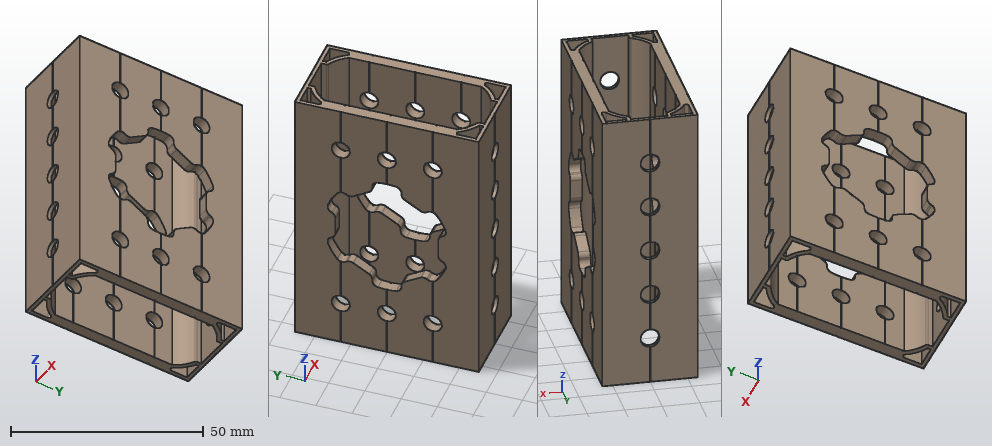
import cadquery as cq
import math

WIDTH = 25.4
DEPTH = 50.8
LENGTH = 76.2
PITCH = 12.7

THIN_WALL = 1.15
THICK_WALL = 3.2
RIB_GAP = 9.8
RIB_THICKNESS = 1.1
BORE_RADIUS = 11.0
WEB_THICKNESS = 1.2
POCKET_ARC_RADIUS = BORE_RADIUS + WEB_THICKNESS
RIB_FOOT_FILLET = 0.5
POCKET_TIP_FILLET = 0.6

HOLE_DIAMETER = 5.0
BROAD_HOLE_COLUMNS = (-PITCH, 0, PITCH)
BROAD_HOLE_ROWS = (-2 * PITCH, 2 * PITCH)
NARROW_HOLE_ROWS = [step * PITCH for step in range(-2, 3)]
GROOVE_WIDTH = 0.25
GROOVE_DEPTH = 0.15

LOBE_COUNT = 6
SPLINE_TIP_RADIUS = 17.45
SPLINE_APOTHEM = 14.2
LOBE_WIDTH = 8.1
LOBE_TIP_FILLET = 1.8
LOBE_ROOT_FILLET = 1.7
LENGTH_TOLERANCE = 0.001

INNER_HALF_WIDTH = WIDTH / 2 - THICK_WALL
INNER_HALF_DEPTH = DEPTH / 2 - THIN_WALL


def circle_point(radius, x):
    """Point at the given x on a circle centred one pitch along +Y."""
    return (x, PITCH + math.sqrt(radius**2 - x**2))


def circle_mid_point(radius, x_start, x_end):
    """Point halfway along the arc of that circle between two x values."""
    angle = (math.acos(x_start / radius) + math.acos(x_end / radius)) / 2
    return (radius * math.cos(angle), PITCH + radius * math.sin(angle))


def mirror_pair(solid, plane):
    """The solid together with its mirror image in a plane through the origin."""
    return solid.union(solid.mirror(plane))


def main_cavity():
    """Central passage: straight sides, arced corners and a recess between the ribs."""
    rib_x = RIB_GAP / 2
    quarter = (
        cq.Workplane("XY")
        .workplane(offset=-LENGTH / 2)
        .lineTo(INNER_HALF_WIDTH, 0)
        .lineTo(*circle_point(BORE_RADIUS, INNER_HALF_WIDTH))
        .threePointArc(
            circle_mid_point(BORE_RADIUS, INNER_HALF_WIDTH, rib_x),
            circle_point(BORE_RADIUS, rib_x),
        )
        .lineTo(rib_x, INNER_HALF_DEPTH)
        .lineTo(0, INNER_HALF_DEPTH)
        .close()
        .extrude(LENGTH)
    )
    foot = circle_point(BORE_RADIUS, rib_x)
    quarter = quarter.edges(cq.NearestToPointSelector((*foot, 0))).fillet(RIB_FOOT_FILLET)
    return mirror_pair(mirror_pair(quarter, "YZ"), "XZ")


def corner_pockets():
    """Hollow corners, each closed off from the cavity by a curved web and a short rib."""
    outer_x = WIDTH / 2 - THIN_WALL
    rib_x = RIB_GAP / 2 + RIB_THICKNESS
    tip = circle_point(POCKET_ARC_RADIUS, outer_x)
    pocket = (
        cq.Workplane("XY")
        .workplane(offset=-LENGTH / 2)
        .moveTo(rib_x, INNER_HALF_DEPTH)
        .lineTo(outer_x, INNER_HALF_DEPTH)
        .lineTo(*tip)
        .threePointArc(
            circle_mid_point(POCKET_ARC_RADIUS, outer_x, rib_x),
            circle_point(POCKET_ARC_RADIUS, rib_x),
        )
        .close()
        .extrude(LENGTH)
        .edges(cq.NearestToPointSelector((*tip, 0)))
        .fillet(POCKET_TIP_FILLET)
    )
    return mirror_pair(mirror_pair(pocket, "YZ"), "XZ")


def groove(x, y, direction):
    """V groove along Z on the face through (x, y), cut towards the given XY direction."""
    dx, dy = direction
    half = GROOVE_WIDTH / 2
    return (
        cq.Workplane("XY")
        .workplane(offset=-LENGTH / 2)
        .moveTo(x - dy * half, y + dx * half)
        .lineTo(x + dx * GROOVE_DEPTH, y + dy * GROOVE_DEPTH)
        .lineTo(x + dy * half, y - dx * half)
        .close()
        .extrude(LENGTH)
    )


def cut_grooves(body):
    for side in (-1, 1):
        body = body.cut(groove(0, side * DEPTH / 2, (0, -side)))
        for y in BROAD_HOLE_COLUMNS:
            body = body.cut(groove(side * WIDTH / 2, y, (-side, 0)))
            body = body.cut(groove(side * INNER_HALF_WIDTH, y, (side, 0)))
    return body


def broad_side_holes():
    return (
        cq.Workplane("YZ")
        .pushPoints([(y, z) for y in BROAD_HOLE_COLUMNS for z in BROAD_HOLE_ROWS])
        .circle(HOLE_DIAMETER / 2)
        .extrude(WIDTH / 2, both=True)
    )


def narrow_side_holes():
    return (
        cq.Workplane("XZ")
        .pushPoints([(0, z) for z in NARROW_HOLE_ROWS])
        .circle(HOLE_DIAMETER / 2)
        .extrude(DEPTH / 2, both=True)
    )


def distance_from_x_axis(edge):
    center = edge.Center()
    return math.hypot(center.y, center.z)


def is_lobe_tip(edge):
    return distance_from_x_axis(edge) > SPLINE_TIP_RADIUS - LENGTH_TOLERANCE


def is_lobe_root(edge):
    """True where a lobe flank meets a side of the hexagon."""
    half_lobe = LOBE_WIDTH / 2
    turn = math.pi / LOBE_COUNT
    flank_start = (SPLINE_APOTHEM - half_lobe * math.sin(turn)) / math.cos(turn)
    root_radius = math.hypot(half_lobe, flank_start)
    return abs(distance_from_x_axis(edge) - root_radius) < LENGTH_TOLERANCE


def spline_opening():
    """Through opening along X: a hexagon with a parallel-sided lobe on each corner."""
    hexagon = cq.Workplane("YZ").polygon(LOBE_COUNT, 2 * SPLINE_APOTHEM, circumscribed=True)
    opening = hexagon.extrude(WIDTH / 2, both=True)
    bar_length = 2 * (SPLINE_TIP_RADIUS + LOBE_WIDTH)
    bar = cq.Workplane("YZ").rect(LOBE_WIDTH, bar_length).extrude(WIDTH / 2, both=True)
    for index in range(LOBE_COUNT // 2):
        opening = opening.union(bar.rotate((0, 0, 0), (1, 0, 0), index * 360 / LOBE_COUNT))
    tip_disc = cq.Workplane("YZ").circle(SPLINE_TIP_RADIUS).extrude(WIDTH / 2, both=True)
    opening = opening.intersect(tip_disc)
    opening = opening.edges("|X").filter(is_lobe_tip).fillet(LOBE_TIP_FILLET)
    return opening.edges("|X").filter(is_lobe_root).fillet(LOBE_ROOT_FILLET)


tube = cq.Workplane("XY").box(WIDTH, DEPTH, LENGTH)
tube = tube.cut(main_cavity()).cut(corner_pockets())
tube = cut_grooves(tube)
result = tube.cut(broad_side_holes()).cut(narrow_side_holes()).cut(spline_opening())